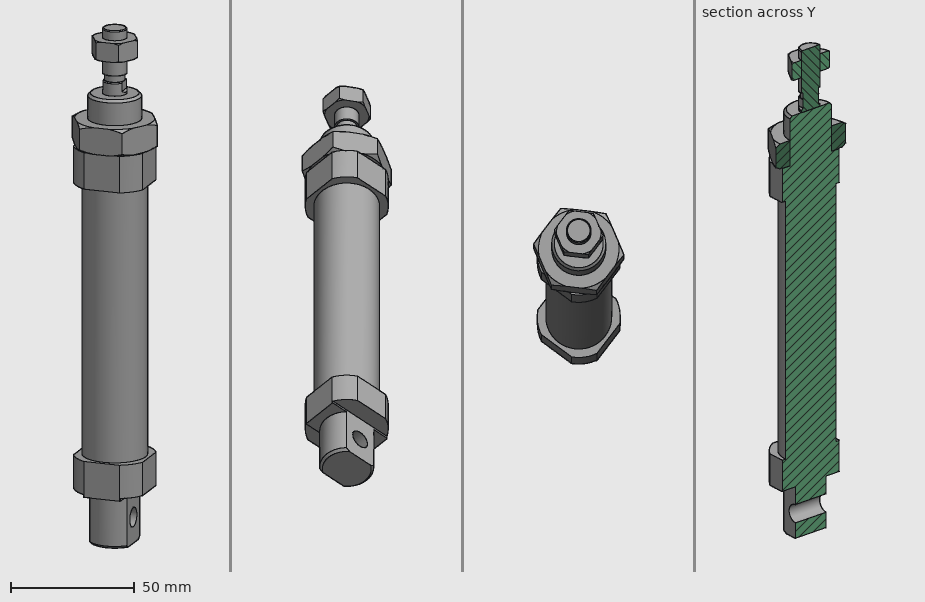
import cadquery as cq
import math


tube_diameter = 26.7
cap_across_flats = 30.0
cap_round_diameter = 33.6
rear_cap_bottom = 22.0
rear_cap_top = 37.0
front_cap_bottom = 152.1
front_cap_top = 167.5
collar_diameter = 22.0
collar_top = 189.5
collar_chamfer = 1.0

tongue_thickness = 16.0
tongue_chamfer = 1.0
shoulder_height = 23.0
hinge_hole_diameter = 8.0
hinge_hole_height = 11.0

rod_diameter = 10.0
rod_top = 217.0
rod_chamfer = 0.5
foot_chamfer = 0.5
thread_bottom = 198.0
undercut_diameter = 8.5
undercut_bottom = 195.0
wrench_across_flats = 8.2
wrench_flat_bottom = 191.2

collar_nut_across_flats = 32.0
collar_nut_height = 11.3
collar_nut_face_diameter = 32.5
rod_nut_across_flats = 17.1
rod_nut_bottom = 204.8
rod_nut_height = 8.0
rod_nut_face_diameter = 18.0
nut_chamfer_angle = 30.0
hexagon_sides = 6
hexagon_half_angle = 180.0 / hexagon_sides


def cylinder(diameter, bottom, top):
    return cq.Workplane("XY").workplane(offset=bottom).circle(diameter / 2).extrude(top - bottom)


def block(x_size, y_size, bottom, top):
    return cq.Workplane("XY").workplane(offset=bottom).rect(x_size, y_size).extrude(top - bottom)


def make_end_cap(bottom, top):
    """Square block whose corners are turned down to a cylinder."""
    square = block(cap_across_flats, cap_across_flats, bottom, top)
    return square.intersect(cylinder(cap_round_diameter, bottom, top))


def make_tongue_end():
    """Round hinge stub and rear cap, milled to the tongue thickness below the shoulder."""
    stub = cylinder(collar_diameter, 0, rear_cap_bottom).faces("<Z").chamfer(tongue_chamfer)
    rear_end = stub.union(make_end_cap(rear_cap_bottom, rear_cap_top))
    tongue_zone = block(tongue_thickness, cap_round_diameter, 0, shoulder_height)
    cap_zone = block(cap_round_diameter, cap_round_diameter, shoulder_height, rear_cap_top)
    hinge_hole = (
        cq.Workplane("YZ")
        .center(0, hinge_hole_height)
        .circle(hinge_hole_diameter / 2)
        .extrude(tongue_thickness, both=True)
    )
    return rear_end.intersect(tongue_zone.union(cap_zone)).cut(hinge_hole)


def make_housing():
    collar = cylinder(collar_diameter, front_cap_top, collar_top).faces(">Z").chamfer(collar_chamfer)
    return (
        make_tongue_end()
        .union(cylinder(tube_diameter, rear_cap_top, front_cap_bottom))
        .union(make_end_cap(front_cap_bottom, front_cap_top))
        .union(collar)
    )


def make_rod():
    """Rod standing on the collar, with two wrench flats that run out at 45 degrees."""
    foot = cylinder(rod_diameter, collar_top, undercut_bottom).faces(">Z").chamfer(foot_chamfer)
    flat_position = wrench_across_flats / 2
    flat_depth = rod_diameter / 2 - flat_position
    flat_cutter = (
        cq.Workplane("XZ")
        .moveTo(flat_position, undercut_bottom)
        .lineTo(flat_position, wrench_flat_bottom)
        .lineTo(flat_position + flat_depth, wrench_flat_bottom - flat_depth)
        .lineTo(flat_position + flat_depth, undercut_bottom)
        .close()
        .extrude(rod_diameter, both=True)
    )
    foot = foot.cut(flat_cutter).cut(flat_cutter.mirror("YZ"))
    undercut = cylinder(undercut_diameter, undercut_bottom, thread_bottom)
    thread = cylinder(rod_diameter, thread_bottom, rod_top).faces(">Z").chamfer(rod_chamfer)
    return foot.union(undercut).union(thread)


def make_nut(across_flats, face_diameter, bore_diameter, bottom, height):
    """Hexagon nut, corners along X, with conical chamfers around its round end faces."""
    face_radius = face_diameter / 2
    corner_radius = across_flats / 2 / math.cos(math.radians(hexagon_half_angle))
    corner_drop = (corner_radius - face_radius) * math.tan(math.radians(nut_chamfer_angle))
    hexagon = cq.Workplane("XY").polygon(hexagon_sides, 2 * corner_radius).extrude(height)
    chamfer_envelope = (
        cq.Workplane("XZ")
        .moveTo(0, 0)
        .lineTo(face_radius, 0)
        .lineTo(corner_radius, corner_drop)
        .lineTo(corner_radius, height - corner_drop)
        .lineTo(face_radius, height)
        .lineTo(0, height)
        .close()
        .revolve(360, (0, 0, 0), (0, 1, 0))
    )
    nut = hexagon.intersect(chamfer_envelope).cut(cylinder(bore_diameter, 0, height))
    return nut.translate((0, 0, bottom))


housing = make_housing()
rod = make_rod()
collar_nut = make_nut(
    collar_nut_across_flats, collar_nut_face_diameter, collar_diameter, front_cap_top, collar_nut_height
)
rod_nut = make_nut(
    rod_nut_across_flats, rod_nut_face_diameter, rod_diameter, rod_nut_bottom, rod_nut_height
)

result = cq.Compound.makeCompound([housing.val(), rod.val(), collar_nut.val(), rod_nut.val()])